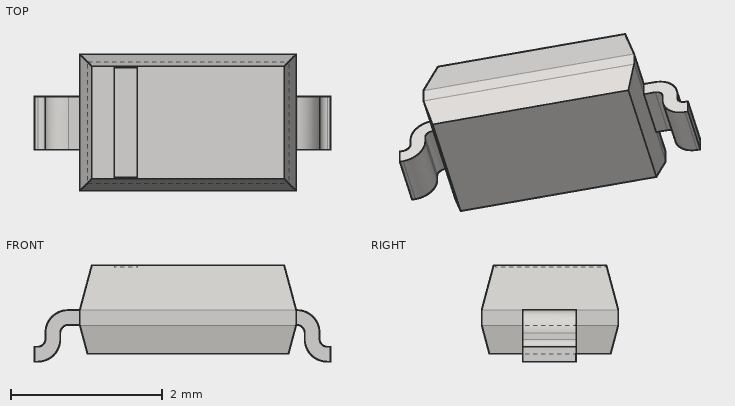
import cadquery as cq
import math

housing_length = 2.85
housing_width = 1.8
housing_top = 1.27
housing_bottom = 0.105
draft_angle = 15.0

lead_thickness = 0.2
lead_width = 0.702
lead_offset_y = -0.008
lead_top = 0.682
inner_radius = 0.1
outer_radius = inner_radius + lead_thickness
foot_flat = 0.043
left_reach = 0.595
right_reach = 3.9 - housing_length - left_reach

mark_width = 0.3
mark_setback = 0.455
mark_edge_gap = 0.02
mark_depth = 0.02

band_top = lead_top
band_bottom = lead_top - lead_thickness
top_inset = (housing_top - band_top) * math.tan(math.radians(draft_angle))
mark_length = housing_width - 2 * (top_inset + mark_edge_gap)


def make_mark():
    center_x = -housing_length / 2 + mark_setback + mark_width / 2
    return (
        cq.Workplane("XY", origin=(center_x, 0, housing_top - mark_depth))
        .rect(mark_width, mark_length)
        .extrude(mark_depth)
    )


def band_outline(z):
    return cq.Workplane("XY", origin=(0, 0, z)).rect(housing_length, housing_width)


def make_housing(mark):
    band = band_outline(band_bottom).extrude(lead_thickness)
    upper = band_outline(band_top).extrude(housing_top - band_top, taper=draft_angle)
    lower = band_outline(band_bottom).extrude(housing_bottom - band_bottom, taper=draft_angle)
    return band.union(upper).union(lower).cut(mark)


def make_lead(side, reach):
    """S-bent lead; side is -1 for the -X end and +1 for the +X end."""

    def point(distance_from_tip, z):
        return (side * (housing_length / 2 + reach - distance_from_tip), z)

    def arc_point(center_distance, center_z, radius, toward_tip, upward):
        diagonal = radius * math.sqrt(0.5)
        return point(center_distance - toward_tip * diagonal, center_z + upward * diagonal)

    foot_center_z = outer_radius
    shoulder_center_z = lead_top - outer_radius
    upright_outer = foot_flat + inner_radius
    upright_inner = upright_outer + lead_thickness
    shoulder_center = upright_outer + outer_radius

    profile = (
        cq.Workplane("XZ", origin=(0, lead_offset_y, 0))
        .moveTo(*point(0, 0))
        .lineTo(*point(0, lead_thickness))
        .lineTo(*point(foot_flat, lead_thickness))
        .threePointArc(
            arc_point(foot_flat, foot_center_z, inner_radius, -1, -1),
            point(upright_outer, foot_center_z),
        )
        .lineTo(*point(upright_outer, shoulder_center_z))
        .threePointArc(
            arc_point(shoulder_center, shoulder_center_z, outer_radius, 1, 1),
            point(shoulder_center, lead_top),
        )
        .lineTo(*point(reach, lead_top))
        .lineTo(*point(reach, band_bottom))
        .lineTo(*point(shoulder_center, band_bottom))
        .threePointArc(
            arc_point(shoulder_center, shoulder_center_z, inner_radius, 1, 1),
            point(upright_inner, shoulder_center_z),
        )
        .lineTo(*point(upright_inner, foot_center_z))
        .threePointArc(
            arc_point(foot_flat, foot_center_z, outer_radius, -1, -1),
            point(foot_flat, 0),
        )
        .close()
    )
    return profile.extrude(lead_width / 2, both=True)


mark = make_mark()
housing = make_housing(mark)
leads = [make_lead(side, reach) for side, reach in ((-1, left_reach), (1, right_reach))]

result = cq.Compound.makeCompound([housing.val(), mark.val(), *[lead.val() for lead in leads]])